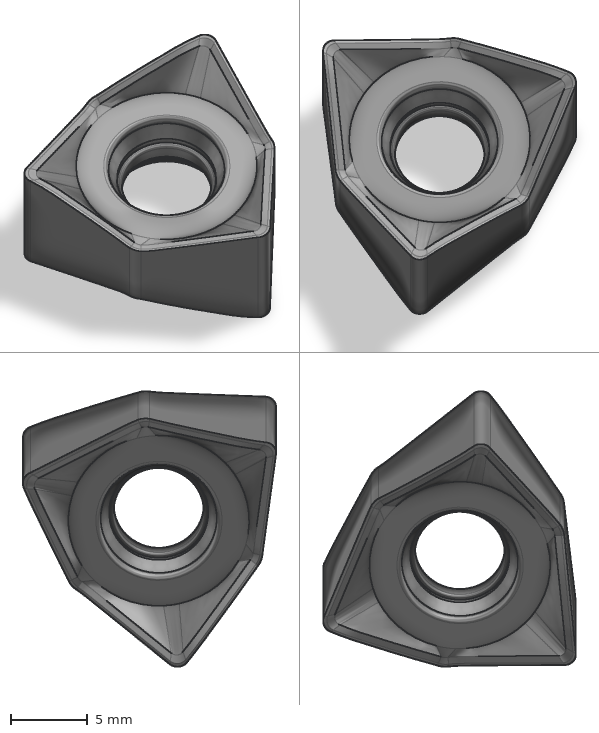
import cadquery as cq
import math

CORNERS = 3
PITCH = 360 / CORNERS
CORNER_AZIMUTH = 222.9
SIDE_TO_SIDE = 89.2
HALF_CORNER = SIDE_TO_SIDE / 2
HALF_BEND = (PITCH - SIDE_TO_SIDE) / 2

INSCRIBED_RADIUS = 6.98
CORNER_RADIUS = 0.78
BEND_RADIUS = 1.45
HALF_HEIGHT = 4.5
BEND_HEIGHT = 2.65
CORNER_RISE = 0.08
BEND_RISE = -0.08

SEAT_RADIUS = 5.88
SEAT_HEIGHT = 2.48
SEAT_CORNER_SPAN = 10.0
SEAT_BEND_SPAN = 12.4

EDGE_LINE = (0.0, CORNER_RADIUS, HALF_HEIGHT, BEND_HEIGHT)
LAND_LINE = (0.2, 0.72, 4.48, 2.64)
POCKET_LINE = (0.62, 0.55, 4.3, 2.53)

CURVED_FALL = [(0.0, 0.0), (0.08, 0.01), (0.17, 0.055), (0.29, 0.16), (0.5, 0.38),
               (0.8, 0.73), (0.92, 0.89), (1.0, 1.0)]
STRAIGHT_FALL = [(0.0, 0.0), (0.3, 0.33), (0.6, 0.65), (0.76, 0.82), (0.9, 0.96), (1.0, 1.0)]

MOUTH_RADIUS = 4.1
MOUTH_FILLET = 0.33
NECK_DEPTH = 0.49
CONE_DEPTH = 1.43
LEDGE_WALL_RADIUS = 3.23
LEDGE_DEPTH = 1.86
LEDGE_FILLET = 0.18
BORE_RADIUS = 2.92


def polar(radius, azimuth, height):
    angle = math.radians(azimuth)
    return cq.Vector(radius * math.cos(angle), radius * math.sin(angle), height)


def round_arc(radius, centre_distance, azimuth, half_span, height, rise=0.0):
    """Counterclockwise arc centred on a ray from the axis, climbing by rise from end to end."""
    centre = polar(centre_distance, azimuth, height)
    points = [centre + polar(radius, azimuth + side * half_span, side * rise / 2) for side in (-1, 0, 1)]
    return cq.Edge.makeThreePointArc(*points)


def reversed_arc(arc):
    return cq.Edge.makeThreePointArc(*[arc.positionAt(along) for along in (1, 0.5, 0)])


def falling_edge(corner_end, bend_end, fall):
    """Edge along a side, from a corner down to a mid bend."""
    run = bend_end - corner_end
    points = []
    for along, drop in fall:
        points.append(cq.Vector(corner_end.x + along * run.x, corner_end.y + along * run.y,
                                corner_end.z + drop * run.z))
    return cq.Edge.makeSpline(points)


def rim_edges(azimuth, line):
    """Four edges of a rim line: corner arc, curved side, mid bend, straight side."""
    offset, corner_radius, corner_height, bend_height = line
    side_distance = INSCRIBED_RADIUS - offset
    bend_radius = BEND_RADIUS - offset
    corner_centre = (side_distance - corner_radius) / math.cos(math.radians(HALF_CORNER))
    bend_centre = (side_distance - bend_radius) / math.cos(math.radians(HALF_BEND))
    bend_azimuth = azimuth + PITCH / 2

    corner_middle = corner_height - CORNER_RISE / 2
    corner = round_arc(corner_radius, corner_centre, azimuth, HALF_CORNER, corner_middle, CORNER_RISE)
    bend = round_arc(bend_radius, bend_centre, bend_azimuth, HALF_BEND, bend_height, BEND_RISE)
    next_corner = corner.rotate(cq.Vector(0, 0, 0), cq.Vector(0, 0, 1), PITCH)
    curved = falling_edge(corner.endPoint(), bend.startPoint(), CURVED_FALL)
    straight = falling_edge(next_corner.startPoint(), bend.endPoint(), STRAIGHT_FALL)
    return [corner, curved, bend, straight]


def seat_edges(azimuth):
    """Arcs of the seat ring that pair with the four rim edges."""
    bend_azimuth = azimuth + PITCH / 2
    half_corner = SEAT_CORNER_SPAN / 2
    half_bend = SEAT_BEND_SPAN / 2
    side_half = (PITCH / 2 - half_corner - half_bend) / 2
    curved_azimuth = azimuth + half_corner + side_half
    straight_azimuth = bend_azimuth + half_bend + side_half
    arcs = [(azimuth, half_corner), (curved_azimuth, side_half),
            (bend_azimuth, half_bend), (straight_azimuth, side_half)]
    return [round_arc(SEAT_RADIUS, 0, middle, half_span, SEAT_HEIGHT) for middle, half_span in arcs]


FLIP_AXIS = polar(1, CORNER_AZIMUTH, 0)


def flipped(shape):
    """Half turn about the level axis through the first corner."""
    return shape.rotate(cq.Vector(0, 0, 0), FLIP_AXIS, 180)


azimuths = [CORNER_AZIMUTH + i * PITCH for i in range(CORNERS)]

end_faces = []
seat_outline = []
for azimuth in azimuths:
    seat = seat_edges(azimuth)
    seat_outline += seat
    lines = [rim_edges(azimuth, line) for line in (EDGE_LINE, LAND_LINE, POCKET_LINE)]
    lines.append(seat[:3] + [reversed_arc(seat[3])])
    for outer, inner in zip(lines, lines[1:]):
        for outer_edge, inner_edge in zip(outer, inner):
            end_faces.append(cq.Face.makeRuledSurface(outer_edge, inner_edge))
end_faces.append(cq.Face.makeFromWires(cq.Wire.assembleEdges(seat_outline)))
end_faces += [flipped(face) for face in end_faces]


def upright_wall(top_edge, bottom_edge):
    """Wall between an upper rim edge and the lower rim edge beneath it."""
    if top_edge.geomType() == "CIRCLE":
        bottom_edge = reversed_arc(bottom_edge)
    return cq.Face.makeRuledSurface(top_edge, bottom_edge)


walls = []
for i, azimuth in enumerate(azimuths):
    upper_rim = rim_edges(azimuth, EDGE_LINE)
    corner = rim_edges(azimuths[-i], EDGE_LINE)[0]
    curved, bend, straight = rim_edges(azimuths[-i - 1], EDGE_LINE)[1:]
    lower_rim = [flipped(edge) for edge in (corner, straight, bend, curved)]
    walls += [upright_wall(*pair) for pair in zip(upper_rim, lower_rim)]

sewn = cq.Shell.makeShell(end_faces + walls)
body = cq.Workplane(cq.Solid.makeSolid(sewn))


def rounding_middle(radius, end_radius, start_height):
    """Middle of a convex quarter round that turns from level to upright at end_radius."""
    reach = radius * (1 - math.cos(math.radians(45)))
    return end_radius + reach, start_height - reach


def half_hole():
    """Upper half of the hole, revolved about the vertical axis."""
    throat_radius = MOUTH_RADIUS - MOUTH_FILLET
    ledge_height = SEAT_HEIGHT - LEDGE_DEPTH
    profile = (
        cq.Workplane("XZ")
        .moveTo(0, SEAT_HEIGHT)
        .lineTo(MOUTH_RADIUS, SEAT_HEIGHT)
        .threePointArc(rounding_middle(MOUTH_FILLET, throat_radius, SEAT_HEIGHT),
                       (throat_radius, SEAT_HEIGHT - MOUTH_FILLET))
        .lineTo(throat_radius, SEAT_HEIGHT - NECK_DEPTH)
        .lineTo(LEDGE_WALL_RADIUS, SEAT_HEIGHT - CONE_DEPTH)
        .lineTo(LEDGE_WALL_RADIUS, ledge_height)
        .lineTo(BORE_RADIUS + LEDGE_FILLET, ledge_height)
        .threePointArc(rounding_middle(LEDGE_FILLET, BORE_RADIUS, ledge_height),
                       (BORE_RADIUS, ledge_height - LEDGE_FILLET))
        .lineTo(BORE_RADIUS, 0)
        .lineTo(0, 0)
        .close()
    )
    return profile.revolve(360, (0, 0, 0), (0, 1, 0))


upper_hole = half_hole()
result = body.cut(upper_hole).cut(upper_hole.mirror("XY"))